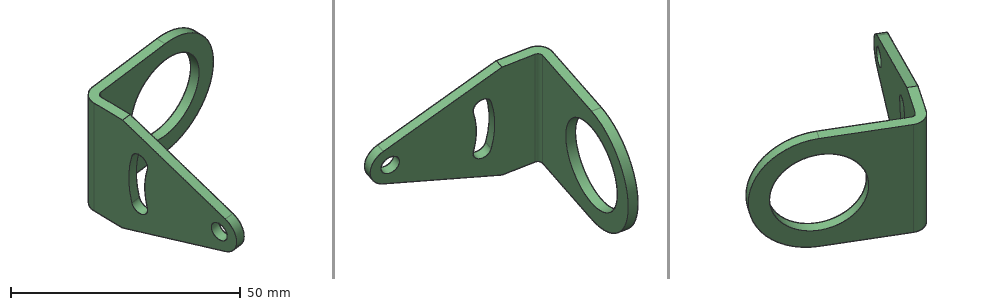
import cadquery as cq
import math

length = 45.45
height = 31.75
thickness = 2.5
inner_bend_radius = 1.25
outer_bend_radius = inner_bend_radius + thickness

ring_radius = height / 2
ring_center_y = 24.8
ring_hole_diameter = 22.2

tip_radius = 5.1
tip_center_x = length - tip_radius
taper_start_x = 12.1
pivot_hole_diameter = 4.65

slot_radius = 24.15
slot_width = 4.65
slot_half_angle = 15.0


def ring_flange():
    """Round-ended flange with a large hole."""
    return (
        cq.Workplane("YZ")
        .moveTo(0, -ring_radius)
        .lineTo(ring_center_y, -ring_radius)
        .threePointArc((ring_center_y + ring_radius, 0), (ring_center_y, ring_radius))
        .lineTo(0, ring_radius)
        .close()
        .moveTo(ring_center_y, 0)
        .circle(ring_hole_diameter / 2)
        .extrude(thickness)
    )


def tapered_flange():
    """Flange whose sloping edges run tangent into the rounded tip."""
    run = tip_center_x - taper_start_x
    corner_distance = math.hypot(run, height / 2)
    tangent_angle = math.atan2(height / 2, -run) - math.acos(tip_radius / corner_distance)
    tangent_x = tip_center_x + tip_radius * math.cos(tangent_angle)
    tangent_z = tip_radius * math.sin(tangent_angle)
    return (
        cq.Workplane("XZ")
        .moveTo(0, -height / 2)
        .lineTo(taper_start_x, -height / 2)
        .lineTo(tangent_x, -tangent_z)
        .threePointArc((length, 0), (tangent_x, tangent_z))
        .lineTo(taper_start_x, height / 2)
        .lineTo(0, height / 2)
        .close()
        .moveTo(tip_center_x, 0)
        .circle(pivot_hole_diameter / 2)
        .extrude(-thickness)
    )


def slot_point(radius, angle):
    """Point at a radius from the pivot, at an angle above the -X direction."""
    angle = math.radians(angle)
    return (tip_center_x - radius * math.cos(angle), radius * math.sin(angle))


def slot_cutter():
    """Arc-shaped slot with round ends, through the tapered flange."""
    inner = slot_radius - slot_width / 2
    outer = slot_radius + slot_width / 2
    cap_angle = math.degrees(2 * math.asin(slot_width / 4 / slot_radius))
    end_angle = slot_half_angle + cap_angle
    return (
        cq.Workplane("XZ")
        .moveTo(*slot_point(outer, -slot_half_angle))
        .threePointArc(slot_point(outer, 0), slot_point(outer, slot_half_angle))
        .threePointArc(slot_point(slot_radius, end_angle), slot_point(inner, slot_half_angle))
        .threePointArc(slot_point(inner, 0), slot_point(inner, -slot_half_angle))
        .threePointArc(slot_point(slot_radius, -end_angle), slot_point(outer, -slot_half_angle))
        .close()
        .extrude(-thickness)
    )


def at_corner(offset):
    """Selector for the vertical bend edge at equal X and Y offsets."""
    return cq.selectors.NearestToPointSelector((offset, offset, 0))


bracket = ring_flange().union(tapered_flange())
bracket = bracket.edges(at_corner(0)).fillet(outer_bend_radius)
bracket = bracket.edges(at_corner(thickness)).fillet(inner_bend_radius)

result = bracket.cut(slot_cutter())